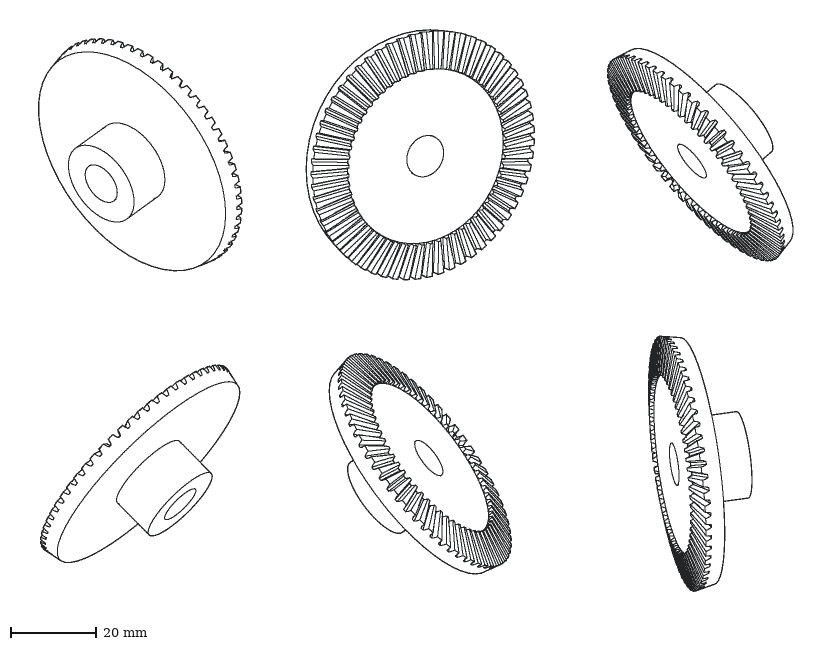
import cadquery as cq


outer_radius = 30.2
total_length = 17.4
hub_length = 10.9
hub_radius = 10.25
bore_radius = 5.0
rim_height = 4.7
cone_slope = 0.2
tooth_count = 60

gap_depth_outer = 1.45
gap_depth_inner = 1.0
mouth_width = 1.6
middle_width = 1.25
floor_width = 0.65
cut_overrun = 0.6

tip_outer_y = hub_length + rim_height
back_radius = outer_radius - cone_slope * rim_height
tooth_inner_radius = outer_radius - (total_length - tip_outer_y) / cone_slope
face_y = total_length - gap_depth_inner
face_radius = tooth_inner_radius - cone_slope * gap_depth_inner


def make_blank():
    """Hub, tapered rim, tooth tip cone and recessed face, turned around the bore."""
    profile = [
        (bore_radius, 0),
        (hub_radius, 0),
        (hub_radius, hub_length),
        (back_radius, hub_length),
        (outer_radius, tip_outer_y),
        (tooth_inner_radius, total_length),
        (face_radius, face_y),
        (bore_radius, face_y),
    ]
    return cq.Workplane("XY").polyline(profile).close().revolve(360, (0, 0, 0), (0, 1, 0))


def gap_section(radius):
    """Outline of one tooth gap, normal to Z at a given radius, with curved flanks."""
    tip_y = tip_outer_y + cone_slope * (outer_radius - radius)
    depth_change = gap_depth_outer - gap_depth_inner
    ring_width = outer_radius - tooth_inner_radius
    depth = gap_depth_inner + depth_change * (radius - tooth_inner_radius) / ring_width
    floor_y = tip_y - depth
    middle_y = tip_y - depth / 2
    top_y = tip_y + cut_overrun
    outline = (
        cq.Workplane("XY", origin=(0, 0, radius))
        .moveTo(-floor_width / 2, floor_y)
        .lineTo(floor_width / 2, floor_y)
        .threePointArc((middle_width / 2, middle_y), (mouth_width / 2, tip_y))
        .lineTo(mouth_width / 2, top_y)
        .lineTo(-mouth_width / 2, top_y)
        .lineTo(-mouth_width / 2, tip_y)
        .threePointArc((-middle_width / 2, middle_y), (-floor_width / 2, floor_y))
        .close()
    )
    return outline.val()


def make_gap_cutters():
    """One compound that cuts all the tooth gaps; the first gap lies on +Z."""
    inner_section = gap_section(face_radius - cut_overrun)
    outer_section = gap_section(outer_radius + cut_overrun)
    cutter = cq.Solid.makeLoft([inner_section, outer_section], True)
    axis_start = cq.Vector(0, 0, 0)
    axis_end = cq.Vector(0, 1, 0)
    pitch_angle = 360 / tooth_count
    cutters = [cutter.rotate(axis_start, axis_end, i * pitch_angle) for i in range(tooth_count)]
    return cq.Compound.makeCompound(cutters)


toothed_body = make_blank().val().cut(make_gap_cutters())
result = cq.Workplane("XY").newObject(toothed_body.Solids())